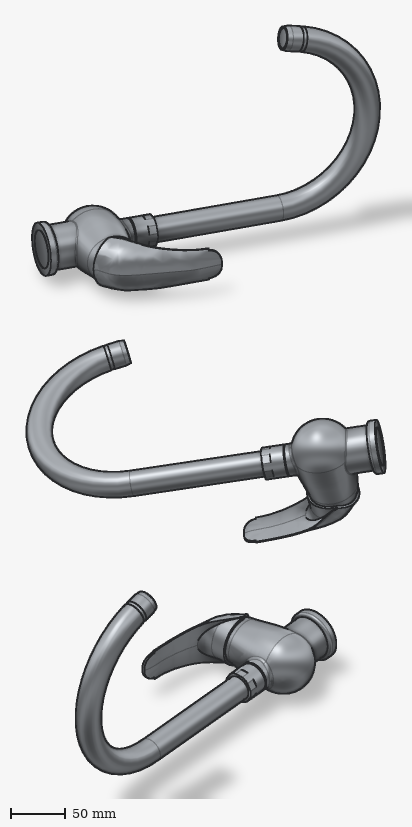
import cadquery as cq
import math


bulb_x = -6.0
bulb_radius = 29.3
neck_x = 41.0
neck_radius = 23.3
neck_slope = -0.1
shoulder_x = 18.0
shoulder_radius = 27.5

base_y = -53.0
base_radius = 21.3
flange_radius = 25.0
flange_thickness = 8.3
flange_round = 2.5
base_fillet = 1.3
inlet_radius = 18.0
inlet_depth = 0.3

collar_radius = 15.0
collar_end_y = 56.3
collar_fillet = 3.3
groove_y = 34.3
groove_width = 1.0
groove_depth = 0.5
flat_count = 6
flat_width = 8.0
flat_length = 8.3

tube_radius = 12.0
bend_start_y = 180.8
bend_radius = 87.2
outlet_tilt = 13
nozzle_length = 16.0
tip_length = 5.0
tip_radius = 11.0
outlet_radius = 9.3
outlet_depth = 0.3
nozzle_groove_width = 3.5
nozzle_groove_depth = 0.3

rim_x = 45.0
skirt_radius = 25.3
heel_start = (60.0, skirt_radius)
heel_middle = (67.5, 28.3)
heel_end = (73.2, 36.0)
overlap = 1.0
lever_edge = 1.3
lever_tip_y = 92.5
lever_tip_round = 11.5
lever_tip_half_width = 14.3

lever_stations = [
    ((rim_x, -2.5), (54.5, -22.3), 25.3),
    ((56.5, 12.0), (69.0, -10.3), 25.0),
    ((65.0, 21.3), (76.5, 4.0), 23.3),
    ((71.2, 32.0), (81.0, 24.3), 21.3),
    ((77.2, 50.5), (85.2, 47.5), 18.3),
    ((80.5, 71.5), (87.5, 70.5), 16.3),
    ((84.5, 96.5), (88.2, 96.5), 14.0),
]


def cylinder_y(radius, start_y, end_y):
    """Cylinder about the Y axis."""
    return cq.Workplane("XZ", origin=(0, start_y, 0)).circle(radius).extrude(start_y - end_y)


def bulb():
    """Sphere that tapers into a neck with a domed end."""
    diagonal = math.sqrt(0.5)
    return (
        cq.Workplane("XY")
        .moveTo(bulb_x - bulb_radius, 0)
        .threePointArc(
            (bulb_x - bulb_radius * diagonal, bulb_radius * diagonal),
            (bulb_x, bulb_radius),
        )
        .spline(
            [(shoulder_x, shoulder_radius), (neck_x, neck_radius)],
            tangents=[(1, 0), (1, neck_slope)],
            includeCurrent=True,
        )
        .threePointArc(
            (neck_x + neck_radius * diagonal, neck_radius * diagonal),
            (neck_x + neck_radius, 0),
        )
        .close()
        .revolve(360, (0, 0, 0), (1, 0, 0))
    )


def shell():
    """Bulb with the base and collar shanks blended into it."""
    blank = bulb().union(cylinder_y(base_radius, base_y, 0)).union(cylinder_y(collar_radius, 0, collar_end_y))
    collar_joint = cq.selectors.BoxSelector(
        (-bulb_radius, bulb_radius / 2, -bulb_radius),
        (bulb_radius, groove_y, bulb_radius),
    )
    base_joint = cq.selectors.BoxSelector(
        (-bulb_radius, -bulb_radius, -bulb_radius),
        (bulb_radius, -bulb_radius / 3, bulb_radius),
    )
    return blank.edges(collar_joint).fillet(collar_fillet).edges(base_joint).fillet(base_fillet)


def flange():
    """Flange with a round edge at the foot of the base."""
    flange_top = base_y + flange_thickness
    return cylinder_y(flange_radius, base_y, flange_top).faces(">Y").edges().fillet(flange_round)


def inlet():
    """Shallow recess in the foot."""
    return cylinder_y(inlet_radius, base_y, base_y + inlet_depth)


def collar_groove():
    """Thin ring to cut from the collar."""
    groove_end = groove_y + groove_width
    core = cylinder_y(collar_radius - groove_depth, groove_y, groove_end)
    return cylinder_y(2 * collar_radius, groove_y, groove_end).cut(core)


def collar_flats():
    """Blocks that cut the flats around the open end of the collar."""
    flat_distance = math.sqrt(collar_radius**2 - (flat_width / 2) ** 2)
    block = (
        cq.Workplane("XY")
        .box(flat_width, flat_length, collar_radius, centered=(True, False, False))
        .translate((0, collar_end_y - flat_length, flat_distance))
    )
    blocks = cq.Workplane("XY")
    for index in range(flat_count):
        blocks = blocks.add(block.rotate((0, 0, 0), (0, 1, 0), index * 360 / flat_count))
    return blocks.combine()


def spout():
    """Swan-neck tube that ends in a tapered nozzle."""
    tilt = math.radians(outlet_tilt)
    half_turn = (math.pi - tilt) / 2
    bend_mid = (
        bend_start_y + bend_radius * math.sin(half_turn),
        bend_radius * (1 - math.cos(half_turn)),
    )
    bend_end = (
        bend_start_y + bend_radius * math.sin(tilt),
        bend_radius * (1 + math.cos(tilt)),
    )
    path = cq.Workplane("YZ").lineTo(bend_start_y, 0).threePointArc(bend_mid, bend_end)
    tube = cq.Workplane("XZ").circle(tube_radius).sweep(path)

    outlet = cq.Plane(
        origin=(0, *bend_end),
        xDir=(1, 0, 0),
        normal=(0, -math.cos(tilt), math.sin(tilt)),
    )
    nozzle = (
        cq.Workplane(outlet)
        .circle(tube_radius)
        .extrude(nozzle_length - tip_length)
        .faces(cq.selectors.DirectionMinMaxSelector(outlet.zDir, True))
        .workplane()
        .circle(tube_radius)
        .workplane(offset=tip_length)
        .circle(tip_radius)
        .loft()
    )
    groove = (
        cq.Workplane(outlet)
        .circle(2 * tube_radius)
        .circle(tube_radius - nozzle_groove_depth)
        .extrude(-nozzle_groove_width)
    )
    opening = (
        cq.Workplane(outlet)
        .workplane(offset=nozzle_length)
        .circle(outlet_radius)
        .extrude(-outlet_depth)
    )
    return tube.union(nozzle).cut(groove).cut(opening)


def half_lever_section(inner, outer, half_width):
    """Left half of a D: a flat inner side, a thin edge and an arc that ends square at the crest."""
    middle = cq.Vector(*inner, 0)
    crest = cq.Vector(*outer, 0)
    across = cq.Vector(0, 0, half_width)
    edge = (crest - middle).normalized() * lever_edge
    side = middle + across
    rise = (crest - middle).Length - lever_edge
    arc_radius = (rise**2 + half_width**2) / (2 * rise)
    centre = crest - edge.normalized() * arc_radius
    halfway = (side + edge + crest) * 0.5 - centre
    arc_middle = centre + halfway.normalized() * arc_radius
    return cq.Wire.assembleEdges(
        [
            cq.Edge.makeLine(middle, side),
            cq.Edge.makeLine(side, side + edge),
            cq.Edge.makeThreePointArc(side + edge, arc_middle, crest),
            cq.Edge.makeLine(crest, middle),
        ]
    )


def lever_blade():
    """Curved D-shaped blade with a rounded tip, mirrored from its left half."""
    half = cq.Workplane(cq.Solid.makeLoft([half_lever_section(*station) for station in lever_stations]))
    arc_offset = lever_tip_round * math.sqrt(0.5)
    arc_centre = (lever_tip_y - lever_tip_round, lever_tip_half_width - lever_tip_round)
    corner = (
        cq.Workplane("YZ")
        .moveTo(arc_centre[0], lever_tip_half_width)
        .threePointArc(
            (arc_centre[0] + arc_offset, arc_centre[1] + arc_offset),
            (lever_tip_y, arc_centre[1]),
        )
        .lineTo(lever_tip_y, 0)
        .lineTo(2 * lever_tip_y, 0)
        .lineTo(2 * lever_tip_y, 2 * lever_tip_half_width)
        .lineTo(arc_centre[0], 2 * lever_tip_half_width)
        .close()
        .extrude(2 * lever_tip_y)
    )
    half = half.cut(corner)
    return half.union(half.mirror("XY"))


def lever_skirt():
    """Upper half of the round skirt, flared into the inner side of the blade."""
    inner_points = [(x + overlap, y - overlap) for (x, y), outer, width in lever_stations[1:5]]
    upper_side = (
        cq.Workplane("XY")
        .moveTo(*lever_stations[0][0])
        .spline(inner_points, includeCurrent=True)
        .lineTo(rim_x, inner_points[-1][1])
        .close()
        .extrude(2 * skirt_radius, both=True)
    )
    flare = (
        cq.Workplane("XY")
        .moveTo(rim_x, 0)
        .lineTo(rim_x, skirt_radius)
        .lineTo(*heel_start)
        .threePointArc(heel_middle, heel_end)
        .lineTo(heel_end[0], 0)
        .close()
        .revolve(360, (0, 0, 0), (1, 0, 0))
    )
    return flare.intersect(upper_side)


housing = shell().union(flange()).cut(inlet()).cut(collar_groove()).cut(collar_flats()).union(spout())
lever = lever_blade().union(lever_skirt()).cut(housing)

result = cq.Compound.makeCompound([housing.solids().val(), lever.solids().val()])